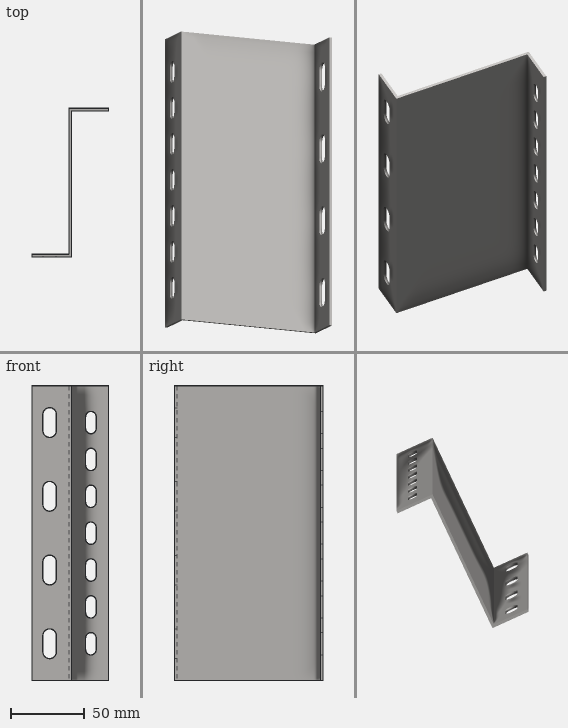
import cadquery as cq

height = 200.0
depth = 101.0
thickness = 2.0
flange_width = 27.0
total_width = 2 * flange_width - thickness
web_left = flange_width - thickness

slot_edge_distance = 12.0

large_count = 4
large_pitch = 50.0
large_length = 20.0
large_width = 9.0
large_x = slot_edge_distance

small_count = 7
small_pitch = 25.0
small_length = 15.0
small_width = 7.0
small_x = total_width - slot_edge_distance


def plate(x, y, width, plate_depth):
    """Full-height plate with its lower-left profile corner at (x, y)."""
    return cq.Workplane("XY").box(width, plate_depth, height, centered=False).translate((x, y, 0))


def slot_column(x, y, count, pitch, length, width):
    """Vertical slot cutters, centred on the height, through the flange starting at y."""
    return (
        cq.Workplane("XZ", origin=(x, y, height / 2))
        .rarray(2, pitch, 1, count)
        .slot2D(length, width, 90)
        .extrude(-thickness)
    )


back_flange_y = depth - thickness

front_flange = plate(0, 0, flange_width, thickness)
web = plate(web_left, 0, thickness, depth)
back_flange = plate(web_left, back_flange_y, flange_width, thickness)
bracket = front_flange.union(web).union(back_flange)

large_slots = slot_column(large_x, 0, large_count, large_pitch, large_length, large_width)
small_slots = slot_column(small_x, back_flange_y, small_count, small_pitch, small_length, small_width)

result = bracket.cut(large_slots).cut(small_slots)